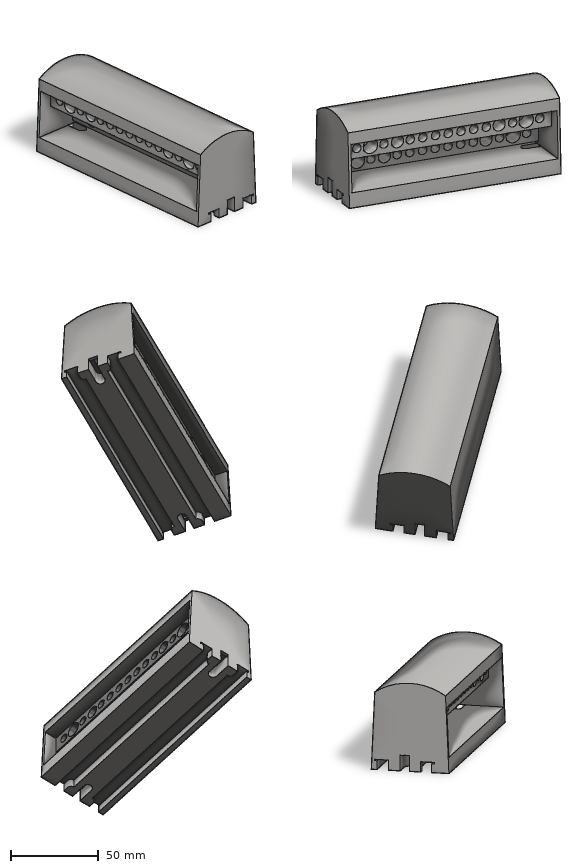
import cadquery as cq
import math

length = 133.0
base_width = 45.5
height = 51.5
shoulder_height = 45.2
draft_inset = 2.0

wall = 1.7
floor_height = 9.2
ceiling_height = 38.0
cavity_length = length - 2 * wall

bar_height = 12.0
bar_depth = 12.0
upper_bar_front = 9.3 - base_width / 2
upper_bar_bottom = ceiling_height - bar_height
lower_bar_front = 26.6 - base_width / 2
lower_bar_bottom = 11.2

inner_pitch = 8.0
outer_pitch = 8.5
small_diameter = 5.3
medium_diameter = 7.6
large_diameter = 9.0

channel_height = 6.0
lip_height = 5.2
front_channel = (-12.5, -6.1)
front_undercut = -14.2
rear_channel = (19.4, 12.6)
rear_undercut = 20.7

end_land_length = 3.3
land_corner_radius = 2.7

slot_width = 5.5
slot_length = 12.9
slot_center_y = 3.0


def x_prism(profile_points):
    """Full-length prism along X from a Y-Z polygon."""
    return (
        cq.Workplane("YZ", origin=(-length / 2, 0, 0))
        .polyline(profile_points).close().extrude(length)
    )


def make_body():
    """Tapered housing with an arched roof."""
    half_base = base_width / 2
    half_shoulder = half_base - draft_inset
    return (
        cq.Workplane("YZ", origin=(-length / 2, 0, 0))
        .moveTo(-half_base, 0)
        .lineTo(half_base, 0)
        .lineTo(half_shoulder, shoulder_height)
        .threePointArc((0, height), (-half_shoulder, shoulder_height))
        .close().extrude(length)
    )


def make_cavity():
    """Window pocket whose back wall follows the lean of the rear side."""
    lean = draft_inset / shoulder_height
    back_at_base = base_width / 2 - wall
    return (
        cq.Workplane("YZ", origin=(-cavity_length / 2, 0, 0))
        .polyline([
            (-base_width, floor_height),
            (back_at_base - lean * floor_height, floor_height),
            (back_at_base - lean * ceiling_height, ceiling_height),
            (-base_width, ceiling_height),
        ])
        .close().extrude(cavity_length)
    )


def hole_layout():
    """Pairs of (distance from mid length, diameter), from the middle hole outward."""
    inner_end = 4 * inner_pitch
    layout = [(step * inner_pitch, small_diameter) for step in range(4)]
    layout += [
        (inner_end, medium_diameter),
        (inner_end + outer_pitch, small_diameter),
        (inner_end + 2 * outer_pitch, large_diameter),
        (inner_end + 3 * outer_pitch, small_diameter),
    ]
    return layout


def make_bar(front, bottom):
    """Terminal bar with a mirrored row of holes through its depth."""
    bar = cq.Workplane("XY").box(
        cavity_length, bar_depth, bar_height, centered=(True, False, False)
    ).translate((0, front, bottom))
    face = cq.Workplane("XZ", origin=(0, front, bottom + bar_height / 2))
    for distance, diameter in hole_layout():
        for x in sorted({-distance, distance}):
            bar = bar.cut(face.center(x, 0).circle(diameter / 2).extrude(-bar_depth))
    return bar


def make_channel(opening, undercut):
    """Channel with a shallow undercut above its lip; opening runs from the lip to the land."""
    lip, land = opening
    return x_prism([
        (lip, 0), (land, 0), (land, channel_height),
        (undercut, channel_height), (undercut, lip_height), (lip, lip_height),
    ])


def make_land_relief(wall_y, inward):
    """Cut that sets the land back by one corner radius; inward is the Y direction into the land."""
    straight_end = length / 2 - end_land_length
    flat_end = straight_end - land_corner_radius
    arc_x = straight_end - land_corner_radius * math.sin(math.pi / 4)
    arc_y = wall_y + inward * land_corner_radius * (1 - math.cos(math.pi / 4))
    relief_y = wall_y + inward * land_corner_radius
    return (
        cq.Workplane("XY")
        .moveTo(-straight_end, wall_y)
        .threePointArc((-arc_x, arc_y), (-flat_end, relief_y))
        .lineTo(flat_end, relief_y)
        .threePointArc((arc_x, arc_y), (straight_end, wall_y))
        .close().extrude(channel_height)
    )


def make_screw_slot(side):
    """Round-ended slot through the floor and out of one end; side is -1 or 1."""
    return (
        cq.Workplane("XY")
        .center(side * length / 2, slot_center_y)
        .slot2D(2 * slot_length, slot_width)
        .extrude(floor_height)
    )


result = make_body().cut(make_cavity())
result = result.union(make_bar(upper_bar_front, upper_bar_bottom))
result = result.union(make_bar(lower_bar_front, lower_bar_bottom))
result = result.cut(make_channel(front_channel, front_undercut))
result = result.cut(make_channel(rear_channel, rear_undercut))
result = result.cut(make_land_relief(front_channel[1], 1))
result = result.cut(make_land_relief(rear_channel[1], -1))
for end in (-1, 1):
    result = result.cut(make_screw_slot(end))